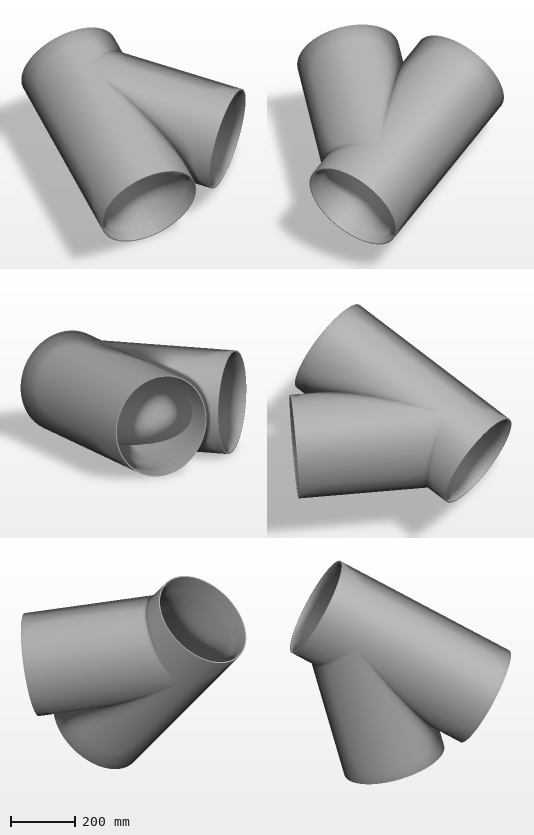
import cadquery as cq
import math

run_length = 608.0
outer_diameter = 324.0
inner_diameter = 316.0
overall_width = 606.0
branch_angle = 45.0
branch_start = 141.5

outer_radius = outer_diameter / 2
angle = math.radians(branch_angle)
branch_reach = overall_width - outer_radius
branch_length = (branch_reach - outer_radius * math.cos(angle)) / math.sin(angle)

run_plane = cq.Plane(origin=(0, 0, 0), xDir=(0, 1, 0), normal=(1, 0, 0))
branch_plane = cq.Plane(
    origin=(branch_start, 0, 0),
    xDir=(0, 0, 1),
    normal=(math.cos(angle), math.sin(angle), 0),
)


def rod(plane, diameter, length):
    """Solid cylinder that starts on the plane and follows its normal."""
    return cq.Workplane(plane).circle(diameter / 2).extrude(length)


def lateral(diameter):
    """Run and branch of one diameter, joined into a single solid."""
    run = rod(run_plane, diameter, run_length)
    branch = rod(branch_plane, diameter, branch_length)
    return run.union(branch)


result = lateral(outer_diameter).cut(lateral(inner_diameter))